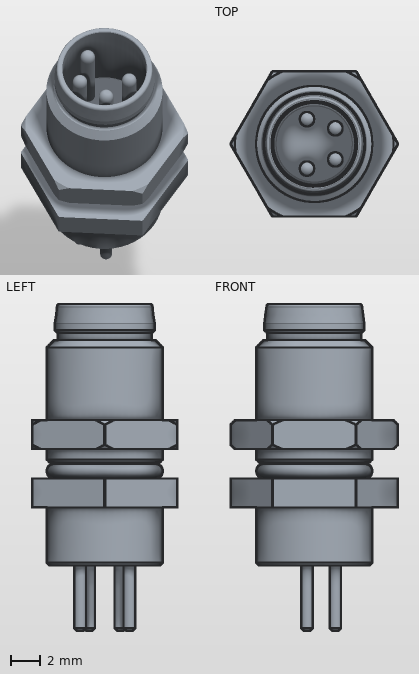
import cadquery as cq
import math

FLANGE_BOTTOM = 4.0
FLANGE_TOP = 6.0
COLLAR_BOTTOM = 7.1
NUT_BOTTOM = 8.0
NUT_TOP = 10.0
BODY_SHOULDER = 15.0
NECK_BOTTOM = 15.5
NECK_TOP = 16.0
TAPER_BOTTOM = 16.65
RIM_TOP = 18.0

BODY_DIA = 8.0
BODY_CHAMFER = 0.2
SHOULDER_TOP_DIA = 7.0
NECK_DIA = 6.5
BAND_DIA = 6.9
BAND_CHAMFER = (BAND_DIA - NECK_DIA) / 2
RIM_DIA = 6.6
RIM_ROUND = 0.2

SOCKET_DIA = 5.8
SOCKET_DEPTH = 6.0
SOCKET_MOUTH_CHAMFER = 0.05
FLOOR_DIA = 5.65
FLOOR_ROUND = 0.2

HEX_ACROSS_FLATS = 10.0
HEX_CORNER_DIA = 11.5
NUT_CHAMFER = 0.3

SEAL_SECTION_DIA = 1.0
GROOVE_DIA = BODY_DIA - SEAL_SECTION_DIA

CONTACT_DIA = 1.0
CONTACT_TIP = 17.7
TAIL_DIA = 0.8
TAIL_LENGTH = 4.5
TAIL_CHAMFER = 0.2
PIN_PAIRS = [(-0.5, 1.7), (1.45, 1.07)]


def round_offset(radius):
    """Distance from a square corner's sides to the middle of a rounding of it."""
    return radius * (1 - math.sqrt(0.5))


def make_body():
    """Turned body, with the O-ring, from the rear chamfer to the socket."""
    body_r = BODY_DIA / 2
    groove_r = GROOVE_DIA / 2
    seal_r = SEAL_SECTION_DIA / 2
    band_r = BAND_DIA / 2
    rim_r = RIM_DIA / 2
    rim_mid = round_offset(RIM_ROUND)
    socket_r = SOCKET_DIA / 2
    floor = RIM_TOP - SOCKET_DEPTH
    floor_r = FLOOR_DIA / 2
    floor_mid = round_offset(FLOOR_ROUND)
    return (
        cq.Workplane("XZ")
        .moveTo(0, 0)
        .lineTo(body_r - BODY_CHAMFER, 0)
        .lineTo(body_r, BODY_CHAMFER)
        .lineTo(body_r, FLANGE_TOP)
        .lineTo(groove_r, FLANGE_TOP)
        .threePointArc((groove_r + seal_r, FLANGE_TOP + seal_r), (groove_r, FLANGE_TOP + 2 * seal_r))
        .lineTo(groove_r, COLLAR_BOTTOM)
        .lineTo(body_r - BODY_CHAMFER, COLLAR_BOTTOM)
        .lineTo(body_r, COLLAR_BOTTOM + BODY_CHAMFER)
        .lineTo(body_r, BODY_SHOULDER)
        .lineTo(SHOULDER_TOP_DIA / 2, NECK_BOTTOM)
        .lineTo(NECK_DIA / 2, NECK_BOTTOM)
        .lineTo(NECK_DIA / 2, NECK_TOP)
        .lineTo(band_r, NECK_TOP + BAND_CHAMFER)
        .lineTo(band_r, TAPER_BOTTOM)
        .lineTo(rim_r, RIM_TOP - RIM_ROUND)
        .threePointArc((rim_r - rim_mid, RIM_TOP - rim_mid), (rim_r - RIM_ROUND, RIM_TOP))
        .lineTo(socket_r + SOCKET_MOUTH_CHAMFER, RIM_TOP)
        .lineTo(socket_r, RIM_TOP - SOCKET_MOUTH_CHAMFER)
        .lineTo(socket_r, floor - FLOOR_ROUND)
        .lineTo(floor_r, floor - FLOOR_ROUND)
        .threePointArc((floor_r - floor_mid, floor - floor_mid), (floor_r - FLOOR_ROUND, floor))
        .lineTo(0, floor)
        .close()
        .revolve(360, (0, 0, 0), (0, 1, 0))
    )


def make_hex(bottom, top, chamfer=0.0):
    """Hexagon with corners on +X and -X, trimmed to the corner diameter."""
    height = top - bottom
    point_dia = HEX_ACROSS_FLATS / math.cos(math.radians(30))
    hexagon = cq.Workplane("XY").workplane(offset=bottom).polygon(6, point_dia).extrude(height)
    trim = cq.Workplane("XY").workplane(offset=bottom).circle(HEX_CORNER_DIA / 2).extrude(height)
    if chamfer > 0:
        trim = trim.edges().chamfer(chamfer)
    return hexagon.intersect(trim)


def make_pin(x, y):
    """Contact pin with a domed tip in the socket and a thinner chamfered solder tail."""
    contact_r = CONTACT_DIA / 2
    contact = (
        cq.Workplane("XY")
        .center(x, y)
        .circle(contact_r)
        .extrude(CONTACT_TIP - contact_r)
    )
    dome = cq.Workplane("XY").sphere(contact_r).translate((x, y, CONTACT_TIP - contact_r))
    tail = (
        cq.Workplane("XY")
        .center(x, y)
        .circle(TAIL_DIA / 2)
        .extrude(-TAIL_LENGTH)
        .faces("<Z")
        .chamfer(TAIL_CHAMFER)
    )
    return contact.union(dome).union(tail)


result = make_body()
result = result.union(make_hex(FLANGE_BOTTOM, FLANGE_TOP))
result = result.union(make_hex(NUT_BOTTOM, NUT_TOP, NUT_CHAMFER))
for pin_x, half_spacing in PIN_PAIRS:
    for pin_y in (half_spacing, -half_spacing):
        result = result.union(make_pin(pin_x, pin_y))